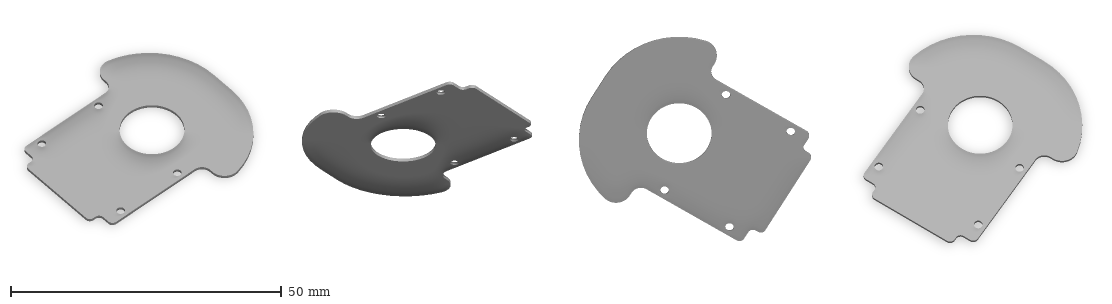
import cadquery as cq
import math

thickness = 0.6
top_y = 17.5
length = 41.0
bottom_y = top_y - length

head_radius = 16.0
head_center_x = 2.5
head_center_y = top_y - head_radius
shoulder_y = head_center_y
lobe_radius = 3.0
neck_radius = 2.0

body_half_width = 12.5
body_bottom_y = -21.0
tab_half_width = 9.0
corner_radius = 1.0

opening_diameter = 12.0
screw_diameter = 1.6
screw_x = 11.0
screw_rows_y = (-3.5, -17.5)

lobe_center_y = shoulder_y + lobe_radius
center_distance = head_radius - lobe_radius
lobe_center_x = head_center_x + math.sqrt(center_distance**2 - lobe_radius**2)
lobe_angle = math.atan2(lobe_center_y - head_center_y, lobe_center_x - head_center_x)


def point_on_circle(center_x, center_y, radius, angle):
    return (center_x + radius * math.cos(angle), center_y + radius * math.sin(angle))


def head_point(angle):
    return point_on_circle(head_center_x, head_center_y, head_radius, angle)


def lobe_point(angle):
    return point_on_circle(lobe_center_x, lobe_center_y, lobe_radius, angle)


def make_half_plate():
    """Right half of the plate, with its straight edge on the symmetry plane."""
    top_angle = math.pi / 2
    bottom_angle = -math.pi / 2
    half = (
        cq.Workplane("XY")
        .moveTo(0, top_y)
        .lineTo(head_center_x, top_y)
        .threePointArc(head_point((top_angle + lobe_angle) / 2), head_point(lobe_angle))
        .threePointArc(lobe_point((lobe_angle + bottom_angle) / 2), lobe_point(bottom_angle))
        .lineTo(body_half_width, shoulder_y)
        .lineTo(body_half_width, body_bottom_y)
        .lineTo(tab_half_width, body_bottom_y)
        .lineTo(tab_half_width, bottom_y)
        .lineTo(0, bottom_y)
        .close()
        .extrude(thickness)
    )
    half = round_corners(half, [(body_half_width, shoulder_y)], neck_radius)
    bottom_corners = [
        (body_half_width, body_bottom_y),
        (tab_half_width, body_bottom_y),
        (tab_half_width, bottom_y),
    ]
    return round_corners(half, bottom_corners, corner_radius)


def round_corners(plate, corners, radius):
    """Fillet the vertical edges standing at the given XY corners."""
    for x, y in corners:
        corner_edge = cq.selectors.NearestToPointSelector((x, y, thickness / 2))
        plate = plate.edges("|Z").edges(corner_edge).fillet(radius)
    return plate


half_plate = make_half_plate()
plate = half_plate.union(half_plate.mirror("YZ")).clean()

screw_points = [(side * screw_x, y) for side in (-1, 1) for y in screw_rows_y]
opening = cq.Workplane("XY").circle(opening_diameter / 2).extrude(thickness)
screw_holes = cq.Workplane("XY").pushPoints(screw_points).circle(screw_diameter / 2).extrude(thickness)

result = plate.cut(opening).cut(screw_holes)